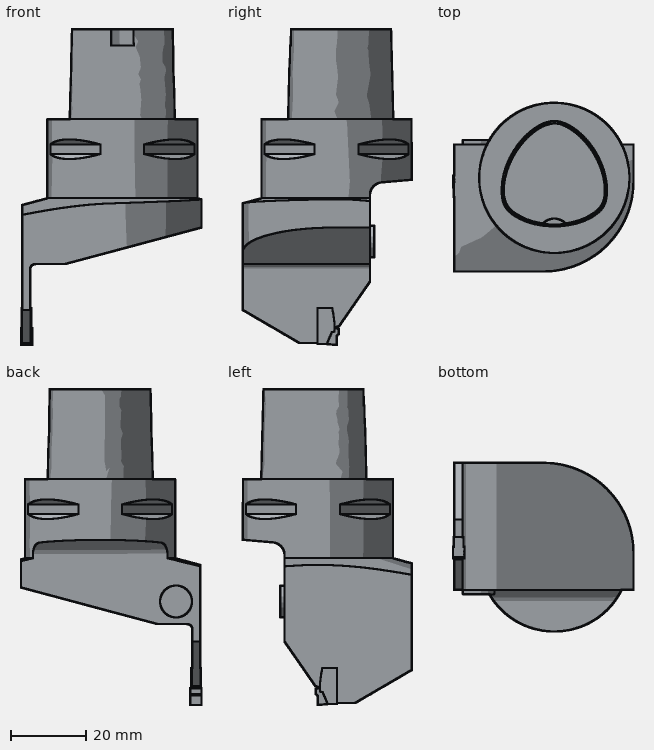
import cadquery as cq
import math


shank_height = 23.9
shank_base_radius = 14.0
lobe_height = 1.1
shank_taper = 0.025
outline_points = 48
key_radius = 4.0
key_depth = 4.3
key_floor_y = -10.8

flange_radius = 40.0 / 2
flange_height = 21.0
groove_count = 4
groove_floor_distance = 17.6
groove_center_z = -8.0
groove_floor_width = 2.5
groove_flank_angle = math.radians(30)

head_left = -26.6
head_right = 21.1
head_front = -24.95
head_back = 8.9
corner_radius = 24.0
slope_angle = math.radians(15)
head_right_bottom = -28.8
head_bottom = -38.55

blade_thickness = 2.2
blade_fillet = 1.3
blade_bottom = -59.55
blade_back_chamfer_z = -43.2
blade_front_chamfer_z = -50.7
blade_bottom_front_y = -9.8
jaw_tip = (0.75, -54.9)

relief_edge_z = -16.1
relief_angle = math.radians(5)
relief_fillet = 3.4

boss_diameter = 8.5
boss_height = 1.2
boss_x = -20.2
boss_z = -32.5
boss_fillet = 0.3

insert_front = -5.1
insert_top = -50.15
insert_back = -0.5
insert_jaw_z = -55.5
insert_heel_z = -59.8
insert_bottom = -60.1
insert_left = -26.8
insert_right = -24.2
tip_left = -27.0
tip_right = -23.9
tip_edge = 0.6
tip_relief = 0.1
insert_top_back = (-1.2, insert_top)
insert_back_bulge = (-0.75, -52.5)
tip_outline = [
    (insert_back, insert_jaw_z),
    (tip_edge, -55.7),
    (tip_edge, -57.1),
    (tip_relief, -57.5),
    (tip_relief, insert_bottom),
    (-2.6, insert_heel_z),
    (-1.3, -56.6),
    (insert_back, -56.45),
]


def lobed_outline(radius, z):
    """Closed curve whose distance to its tangent is radius + lobe_height * cos(3 * angle)."""
    def point(t):
        angle = 2 * math.pi * t
        support = radius + lobe_height * math.cos(3 * angle)
        slope = -3 * lobe_height * math.sin(3 * angle)
        along = support * math.cos(angle) - slope * math.sin(angle)
        across = support * math.sin(angle) + slope * math.cos(angle)
        return (-across, along, z)

    points = [cq.Vector(*point(i / outline_points)) for i in range(outline_points)]
    return cq.Wire.assembleEdges([cq.Edge.makeSpline(points, periodic=True)])


def make_shank():
    top_radius = shank_base_radius - shank_taper * shank_height
    base = lobed_outline(shank_base_radius, 0)
    top = lobed_outline(top_radius, shank_height)
    shank = cq.Workplane(cq.Solid.makeLoft([base, top], True))
    key = (
        cq.Workplane("XY", origin=(0, key_floor_y - key_radius, shank_height - key_depth))
        .circle(key_radius)
        .extrude(key_depth)
    )
    return shank.cut(key)


def make_gripper_groove(angle):
    depth = flange_radius - groove_floor_distance
    inner = groove_floor_width / 2
    outer = inner + depth * math.tan(groove_flank_angle)
    return (
        cq.Workplane("XZ")
        .moveTo(groove_floor_distance, groove_center_z - inner)
        .lineTo(flange_radius, groove_center_z - outer)
        .lineTo(flange_radius, groove_center_z + outer)
        .lineTo(groove_floor_distance, groove_center_z + inner)
        .close()
        .extrude(flange_radius, both=True)
        .rotate((0, 0, 0), (0, 0, 1), angle)
    )


def make_back_relief():
    inner_z = relief_edge_z - (flange_radius - head_back) * math.tan(relief_angle)
    relief = (
        cq.Workplane("YZ")
        .moveTo(head_back, -flange_height)
        .lineTo(flange_radius, -flange_height)
        .lineTo(flange_radius, relief_edge_z)
        .lineTo(head_back, inner_z)
        .close()
        .extrude(flange_radius, both=True)
    )
    inner_edge = cq.selectors.NearestToPointSelector((0, head_back, inner_z))
    return relief.edges(inner_edge).fillet(relief_fillet)


def make_flange():
    flange = cq.Workplane("XY").circle(flange_radius).extrude(-flange_height)
    for index in range(groove_count):
        flange = flange.cut(make_gripper_groove((index + 0.5) * 360 / groove_count))
    return flange.cut(make_back_relief())


def make_head_plan():
    """Head outline seen along Z, with one large rounded corner."""
    depth = flange_height + blade_bottom
    return (
        cq.Workplane("XY", origin=(0, 0, -flange_height))
        .moveTo(head_left, head_back)
        .lineTo(head_left, head_front)
        .lineTo(head_right - corner_radius, head_front)
        .radiusArc((head_right, head_front + corner_radius), -corner_radius)
        .lineTo(head_right, head_back)
        .close()
        .extrude(depth)
    )


def make_top_cone():
    """Everything below the conical top of the head."""
    reach = 2 * flange_radius
    rim_z = -flange_height - (reach - flange_radius) * math.tan(slope_angle)
    return (
        cq.Workplane("XZ")
        .moveTo(0, -flange_height)
        .lineTo(flange_radius, -flange_height)
        .lineTo(reach, rim_z)
        .lineTo(reach, blade_bottom)
        .lineTo(0, blade_bottom)
        .close()
        .revolve(360, (0, 0), (0, 1))
    )


def make_underside_profile():
    """Sloped head underside running into the thin blade."""
    blade_right = head_left + blade_thickness
    slope_end_x = head_right - (head_right_bottom - head_bottom) / math.tan(slope_angle)
    profile = (
        cq.Workplane("XZ", origin=(0, head_back, 0))
        .moveTo(head_left, -flange_height)
        .lineTo(head_right, -flange_height)
        .lineTo(head_right, head_right_bottom)
        .lineTo(slope_end_x, head_bottom)
        .lineTo(blade_right, head_bottom)
        .lineTo(blade_right, blade_bottom)
        .lineTo(head_left, blade_bottom)
        .close()
        .extrude(head_back - head_front)
    )
    root = cq.selectors.NearestToPointSelector((blade_right, (head_back + head_front) / 2, head_bottom))
    return profile.edges(root).fillet(blade_fillet)


def make_blade_profile():
    """Side outline of head and blade, with both lower corners cut off."""
    return (
        cq.Workplane("YZ", origin=(head_left, 0, 0))
        .moveTo(head_back, -flange_height)
        .lineTo(head_back, blade_back_chamfer_z)
        .lineTo(*jaw_tip)
        .lineTo(insert_back, insert_jaw_z)
        .lineTo(insert_back, blade_bottom)
        .lineTo(blade_bottom_front_y, blade_bottom)
        .lineTo(head_front, blade_front_chamfer_z)
        .lineTo(head_front, -flange_height)
        .close()
        .extrude(head_right - head_left)
    )


def make_boss():
    return (
        cq.Workplane("XZ", origin=(boss_x, head_back, boss_z))
        .circle(boss_diameter / 2)
        .extrude(-boss_height)
        .faces(">Y").edges().fillet(boss_fillet)
    )


def make_insert():
    body = (
        cq.Workplane("YZ", origin=(insert_left, 0, 0))
        .moveTo(insert_front, insert_top)
        .lineTo(*insert_top_back)
        .threePointArc(insert_back_bulge, (insert_back, insert_jaw_z))
        .lineTo(insert_back, insert_heel_z)
        .lineTo(insert_front, insert_heel_z)
        .close()
        .extrude(insert_right - insert_left)
    )
    tip = (
        cq.Workplane("YZ", origin=(tip_left, 0, 0))
        .polyline(tip_outline)
        .close()
        .extrude(tip_right - tip_left)
    )
    return body.union(tip)


def make_holder(insert):
    head = make_head_plan().intersect(make_underside_profile())
    head = head.intersect(make_blade_profile()).intersect(make_top_cone())
    return make_flange().union(make_shank()).union(head).union(make_boss()).cut(insert)


insert = make_insert()
holder = make_holder(insert)

result = cq.Compound.makeCompound([holder.val(), insert.val()])